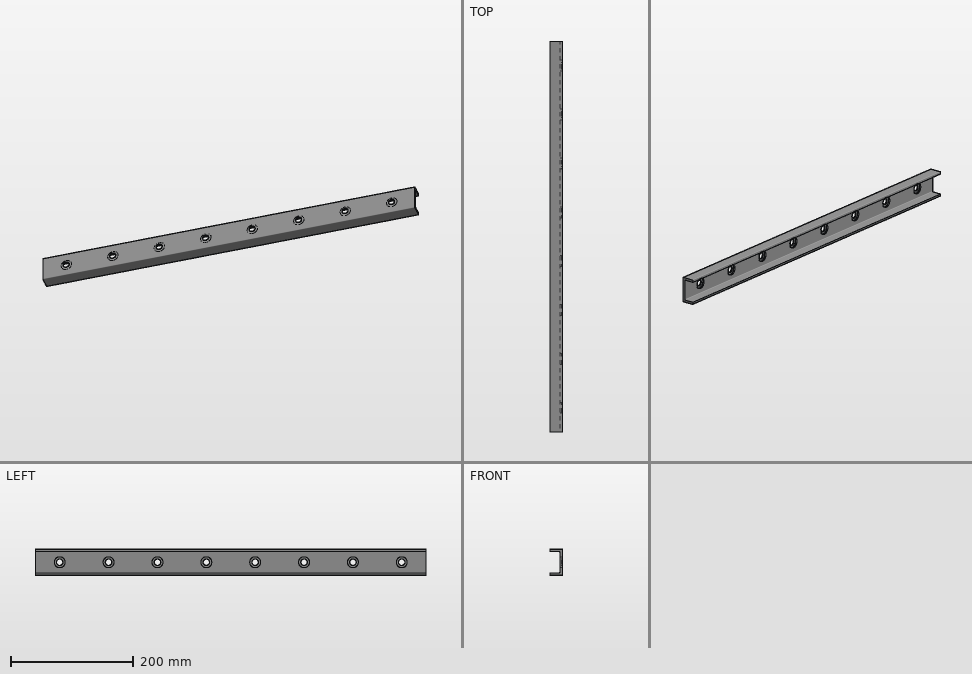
import cadquery as cq

length = 640.0
depth = 21.0
height = 43.0

web_thickness = 4.6
flange_thickness = 4.0
root_radius = 0.95
outer_radius = 0.95

hole_count = 8
hole_pitch = length / hole_count
hole_diameter = 10.0
counterbore_diameter = 18.0
counterbore_depth = 2.5

web_inner_x = depth / 2 - web_thickness


def make_channel():
    """Channel running along Y, open toward -X, with rounded outer edges and inner corners."""
    body = cq.Workplane("XY").box(depth, length, height).edges("|Y").fillet(outer_radius)
    cavity = (
        cq.Workplane("XY")
        .box(depth, length, height - 2 * flange_thickness)
        .translate((-web_thickness, 0, 0))
        .edges("|Y and >X")
        .fillet(root_radius)
    )
    return body.cut(cavity)


def cut_web_holes(body):
    """Through holes with counterbores sunk into the inner face of the web."""
    first_y = -length / 2 + hole_pitch / 2
    centers = [(first_y + i * hole_pitch, 0) for i in range(hole_count)]
    web_face = cq.Workplane("YZ", origin=(web_inner_x, 0, 0)).pushPoints(centers)
    holes = web_face.circle(hole_diameter / 2).extrude(web_thickness)
    counterbores = web_face.circle(counterbore_diameter / 2).extrude(counterbore_depth)
    return body.cut(holes).cut(counterbores)


result = cut_web_holes(make_channel())